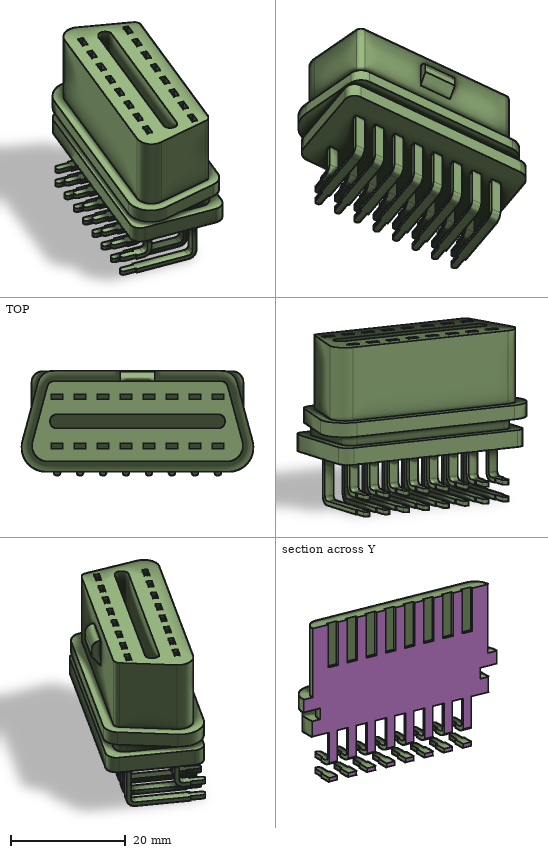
import cadquery as cq
import math

base_height = 3.0
neck_height = 2.0
flange_height = 2.5
tower_height = 13.0
neck_bottom = base_height
flange_bottom = neck_bottom + neck_height
tower_bottom = flange_bottom + flange_height
tower_top = tower_bottom + tower_height

side_slope = math.radians(15)
tower_width = 36.8
tower_depth = 14.0
tower_front_radius = 2.75
tower_back_radius = 1.2
flange_width = 40.5
flange_depth = 17.65
flange_front_radius = 4.3
flange_back_radius = 2.7
neck_width = 33.65
base_width = 37.0
base_depth = 17.5
block_radius = 2.0

column_count = 8
column_pitch = 4.0
row_spacing = 8.6
row_y = row_spacing / 2
column_xs = [(i - (column_count - 1) / 2) * column_pitch for i in range(column_count)]

embed = 0.4

contact_hole_length = 2.02
contact_hole_width = 0.95
key_slot_length = 30.55
key_slot_width = 2.45
opening_depth = 8.1

latch_width = 6.07
latch_projection = 1.6
latch_top_drop = 2.7
latch_flat_bottom_drop = 5.75
latch_bottom_drop = 7.77

pin_width = 1.8
pin_thickness = 0.8
pin_bend_radius = 1.17
pin_shoulder_y = -6.75
pin_end_y = -9.47
pin_tip_width = 1.2
pin_tip_radius = 0.55
back_row_pin_bottom = -9.3
row_level_step = 3.0


def tapered_block(width, depth, front_radius, back_radius, bottom, height):
    """Upright trapezoidal block, wider at the front, with rounded corners."""
    sharp_corner_setback = front_radius / math.tan((math.pi / 2 - side_slope) / 2)
    front = width / 2 - front_radius + sharp_corner_setback
    back = front - depth * math.tan(side_slope)
    outline = [(-front, -depth / 2), (front, -depth / 2), (back, depth / 2), (-back, depth / 2)]
    block = cq.Workplane("XY").workplane(offset=bottom).polyline(outline).close().extrude(height)
    block = block.edges("|Z and <Y").fillet(front_radius)
    return block.edges("|Z and >Y").fillet(back_radius)


def rounded_block(width, depth, bottom, height):
    """Upright rectangular block with rounded corners."""
    block = cq.Workplane("XY").workplane(offset=bottom).rect(width, depth).extrude(height)
    return block.edges("|Z").fillet(block_radius)


def latch():
    """Snap latch on the back wall: quarter-round top, flat crest, sloped underside."""
    wall = tower_depth / 2
    crest = wall + latch_projection
    top = tower_top - latch_top_drop
    arc_end = top - latch_projection
    diagonal = latch_projection * math.sqrt(0.5)
    profile = (
        cq.Workplane("YZ")
        .moveTo(wall - embed, top)
        .lineTo(wall, top)
        .threePointArc((wall + diagonal, arc_end + diagonal), (crest, arc_end))
        .lineTo(crest, tower_top - latch_flat_bottom_drop)
        .lineTo(wall, tower_top - latch_bottom_drop)
        .lineTo(wall - embed, tower_top - latch_bottom_drop)
        .close()
    )
    return profile.extrude(latch_width / 2, both=True)


def pin(x, y, bottom):
    """Flat strip going down from the base, bent towards the front, with a narrow rounded tip."""
    level = bottom + pin_thickness / 2
    path = (
        cq.Workplane("YZ", origin=(x, 0, 0))
        .moveTo(y, embed)
        .lineTo(y, level + pin_bend_radius)
        .tangentArcPoint((y - pin_bend_radius, level), relative=False)
        .lineTo(pin_shoulder_y, level)
    )
    strip = cq.Workplane("XY", origin=(x, y, embed)).rect(pin_width, pin_thickness).sweep(path)
    tip_start = pin_shoulder_y + embed
    tip = (
        cq.Workplane("XY", origin=(x, (tip_start + pin_end_y) / 2, level))
        .box(pin_tip_width, tip_start - pin_end_y, pin_thickness)
        .edges("|Z and <Y")
        .fillet(pin_tip_radius)
    )
    return strip.union(tip)


tower = tapered_block(
    tower_width, tower_depth, tower_front_radius, tower_back_radius, tower_bottom, tower_height
)
flange = tapered_block(
    flange_width, flange_depth, flange_front_radius, flange_back_radius, flange_bottom, flange_height
)
neck = rounded_block(neck_width, tower_depth, neck_bottom, neck_height)
base = rounded_block(base_width, base_depth, 0, base_height)
result = base.union(neck).union(flange).union(tower).union(latch())

top_face = cq.Workplane("XY").workplane(offset=tower_top)
contact_positions = [(x, y) for y in (row_y, -row_y) for x in column_xs]
key_slot = top_face.slot2D(key_slot_length, key_slot_width).extrude(-opening_depth)
contact_holes = (
    top_face.pushPoints(contact_positions)
    .rect(contact_hole_length, contact_hole_width)
    .extrude(-opening_depth)
)
result = result.cut(key_slot).cut(contact_holes)

for column_x in column_xs:
    result = result.union(pin(column_x, row_y, back_row_pin_bottom))
    result = result.union(pin(column_x, -row_y, back_row_pin_bottom + row_level_step))